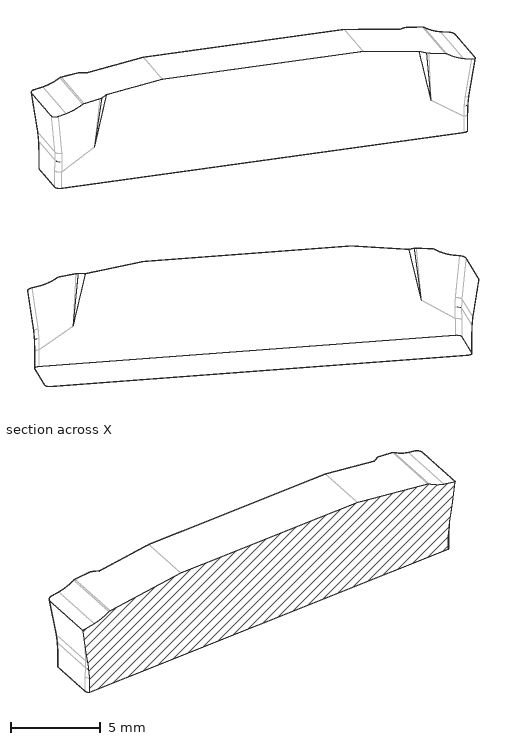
import cadquery as cq
import math

LENGTH = 24.95
HEIGHT = 5.79
BODY_HALF_WIDTH = 1.62
MAX_HALF_WIDTH = 2.0

TIP_Y = LENGTH / 2
TIP_Z = 4.51
FLAT_TOP_END_Y = 5.9
GROOVE_INNER = (10.67, 5.11)
GROOVE_OUTER = (11.7, 4.66)
GROOVE_SAG = 0.05
GROOVE_RIM_RADIUS = 0.2
CLEARANCE = 0.02
BODY_END_Y = 12.15
RELIEF_BOTTOM_Z = 2.2
BODY_END_TOP_Z = 1.67
CORNER_RADIUS = 0.3

APEX_Y = 9.9
APEX_Z = 2.25
FLANK_TOP_Z = 5.29
REAR_INNER_Y = 9.2
BEVEL_Y = 9.55
OUTER_EDGE_Y = 9.68
BEVEL_OFFSET = 0.25
FLANK_FOOT_Y = 11.8
FLANK_FOOT_Z = 1.02
WIDEST_Y = 12.2
WIDEST_Z = 4.55
RAY_STRETCH = 4


def groove_middle():
    """Lowest point of the concave groove, sagging square to its chord."""
    dy = GROOVE_OUTER[0] - GROOVE_INNER[0]
    dz = GROOVE_OUTER[1] - GROOVE_INNER[1]
    chord = math.hypot(dy, dz)
    middle_y = (GROOVE_INNER[0] + GROOVE_OUTER[0]) / 2
    middle_z = (GROOVE_INNER[1] + GROOVE_OUTER[1]) / 2
    return (middle_y + GROOVE_SAG * dz / chord, middle_z - GROOVE_SAG * dy / chord)


def relief_corner_y():
    """Y of the relief's lower end, so that an arc blends it into the upright end."""
    rise = RELIEF_BOTTOM_Z - BODY_END_TOP_Z
    corner_z = BODY_END_TOP_Z + rise / 2
    slope = (TIP_Y - BODY_END_Y) / (TIP_Z - corner_z)
    return BODY_END_Y + slope * rise / 2


def profile_prism():
    """Side outline of the half at +Y, extruded wider than the part."""
    half = (
        cq.Workplane("YZ")
        .moveTo(0, 0)
        .lineTo(BODY_END_Y, 0)
        .lineTo(BODY_END_Y, BODY_END_TOP_Z)
        .tangentArcPoint((relief_corner_y(), RELIEF_BOTTOM_Z), relative=False)
        .lineTo(TIP_Y, TIP_Z)
        .lineTo(*GROOVE_OUTER)
        .threePointArc(groove_middle(), GROOVE_INNER)
        .lineTo(FLAT_TOP_END_Y, HEIGHT)
        .lineTo(0, HEIGHT)
        .close()
    )
    prism = half.extrude(2 * MAX_HALF_WIDTH, both=True)
    rim_y, rim_z = GROOVE_INNER
    rim = cq.selectors.BoxSelector(
        (-CLEARANCE, rim_y - CLEARANCE, rim_z - CLEARANCE),
        (CLEARANCE, rim_y + CLEARANCE, rim_z + CLEARANCE),
    )
    return prism.edges(rim).fillet(GROOVE_RIM_RADIUS)


def flank_half_width(y, z):
    """Half width of the flank plane through the apex, the foot and the widest point."""
    run_out = (APEX_Z - FLANK_FOOT_Z) / (FLANK_FOOT_Y - APEX_Y)
    widest_reach = WIDEST_Z - APEX_Z + run_out * (WIDEST_Y - APEX_Y)
    taper = (MAX_HALF_WIDTH - BODY_HALF_WIDTH) / widest_reach
    return BODY_HALF_WIDTH + taper * (z - APEX_Z + run_out * (y - APEX_Y))


def flank():
    """Pyramid with its tip at the apex, added to the +X side of the body."""
    apex = cq.Vector(BODY_HALF_WIDTH, APEX_Y, APEX_Z)
    outer_half_width = flank_half_width(OUTER_EDGE_Y, FLANK_TOP_Z)
    guides = [
        (BODY_HALF_WIDTH, REAR_INNER_Y, FLANK_TOP_Z),
        (BODY_HALF_WIDTH + BEVEL_OFFSET, BEVEL_Y, FLANK_TOP_Z),
        (outer_half_width, OUTER_EDGE_Y, FLANK_TOP_Z),
        (BODY_HALF_WIDTH, FLANK_FOOT_Y, FLANK_FOOT_Z),
    ]
    base = [apex + (cq.Vector(*guide) - apex) * RAY_STRETCH for guide in guides]
    rear, bevel, outer, foot = base
    triangles = [(apex, a, b) for a, b in zip(base, base[1:] + base[:1])]
    triangles += [(rear, bevel, outer), (rear, outer, foot)]
    faces = [cq.Face.makeFromWires(cq.Wire.makePolygon(t, close=True)) for t in triangles]
    return cq.Workplane(cq.Solid.makeSolid(cq.Shell.makeShell(faces)))


def half_insert():
    """Body and flared head on the +Y side, with rounded end corners."""
    body = cq.Workplane().box(
        2 * BODY_HALF_WIDTH, LENGTH, HEIGHT, centered=(True, False, False)
    )
    side = flank()
    blank = body.union(side).union(side.mirror("YZ"))
    half = blank.intersect(profile_prism())
    corner_zone = cq.selectors.BoxSelector(
        (-2 * MAX_HALF_WIDTH, BODY_END_Y - CLEARANCE, 0),
        (2 * MAX_HALF_WIDTH, TIP_Y + CLEARANCE, TIP_Z - CLEARANCE),
    )
    return half.edges(corner_zone).edges("not #Z").fillet(CORNER_RADIUS)


head_half = half_insert()
result = head_half.union(head_half.mirror("XZ")).clean()